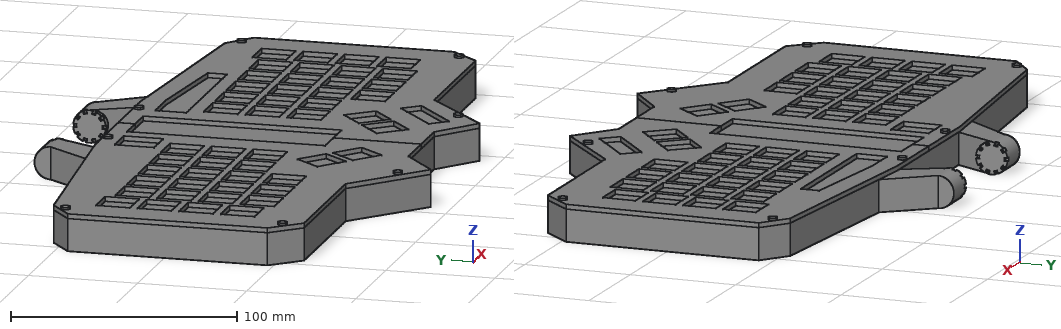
import cadquery as cq
import math

case_height = 15.0
plate_thickness = 2.2
stud_height = 1.0
plate_top = case_height + plate_thickness

half_width = 156.0
rear_flat_half = 38.0
rear_chamfer_start = (143.5, -9.7)
rear_chamfer_end_y = -19.7
front_chamfer_start_y = -111.0
front_chamfer_end_x = 144.0
front_edge_y = -124.5
wing_inner_x = 74.3
thumb_tip = (41.0, -154.5)
middle_front = (21.5, -139.0)

key_size = 15.5
key_pitch = 19.0
first_column_x = 36.0
first_row_y = -39.3
rows_per_column = [3, 3, 4, 4, 4]
outer_column_rows = 4
outer_column_rise = 3.7
thumb_angle = 40.0
thumb_pair_center = (31.0, -109.8)

window_width = 27.5
window_length = 90.8
window_rear_y = -7.8
tall_key_length = 18.0
tall_key_center = (-29.0, -17.5)
slot_left_x = 24.3
slot_bend_x = 42.5
slot_right_x = 92.5
slot_rear_y = -10.3
slot_right_rear_y = -16.0
slot_front_y = -24.5
thumb_bar_length = 29.3
thumb_bar_width = 10.0
thumb_bar_center = (48.7, -127.3)

stud_diameter = 4.0
stud_places = [(26.0, -2.5), (147.5, -16.2), (148.0, -115.8), (50.5, -142.0)]

knuckle_diameter = case_height
knuckle_axis_y = 20.0
knuckle_inner_x = 25.0
knuckle_outer_x = 40.0
notch_count = 10
notch_length = 1.5
notch_width = 1.5
notch_depth = 1.5
arm_end_inner_x = 25.3
arm_root_inner_x = 37.5
arm_root_outer_x = 57.5
arm_root_y = -3.0


def half_outline(side):
    """Closed outline of one half; side is +1 for the right half, -1 for the left."""
    points = [
        (0, 0),
        (rear_flat_half, 0),
        rear_chamfer_start,
        (half_width, rear_chamfer_end_y),
        (half_width, front_chamfer_start_y),
        (front_chamfer_end_x, front_edge_y),
        (wing_inner_x, front_edge_y),
        thumb_tip,
        middle_front,
        (0, middle_front[1]),
    ]
    return [(side * x, y) for x, y in points]


def prism(points, bottom, height):
    return cq.Workplane("XY").workplane(offset=bottom).polyline(points).close().extrude(height)


def opening(length, width, center, angle=0.0):
    """Rectangular cutter through the plate, length along X before turning by angle."""
    cutter = cq.Workplane("XY").box(length, width, plate_thickness, centered=(True, True, False))
    return cutter.rotate((0, 0, 0), (0, 0, 1), angle).translate((*center, case_height))


def make_knuckle():
    """Knuckle of the right arm: a cylinder along X with notches round the rim of its inner end."""
    radius = knuckle_diameter / 2
    knuckle = cq.Workplane("YZ").circle(radius).extrude(knuckle_outer_x - knuckle_inner_x)
    notch = (
        cq.Workplane("XY")
        .box(notch_length, 2 * notch_depth, notch_width, centered=(False, True, True))
        .translate((0, radius, 0))
    )
    pitch_angle = 360 / notch_count
    for index in range(notch_count):
        knuckle = knuckle.cut(notch.rotate((0, 0, 0), (1, 0, 0), index * pitch_angle))
    return knuckle.translate((knuckle_inner_x, knuckle_axis_y, radius))


def make_arm():
    """Right hinge arm, running from inside the case to its knuckle."""
    outline = [
        (arm_end_inner_x, knuckle_axis_y),
        (arm_root_inner_x, arm_root_y),
        (arm_root_outer_x, arm_root_y),
        (knuckle_outer_x, knuckle_axis_y),
    ]
    return prism(outline, 0, case_height).union(make_knuckle())


def make_case():
    case = prism(half_outline(1), 0, case_height).union(prism(half_outline(-1), 0, case_height))
    right_arm = make_arm()
    return case.union(right_arm).union(right_arm.mirror("YZ")).clean()


def key_centers(side):
    centers = []
    for column, row_count in enumerate(rows_per_column):
        for row in range(row_count):
            centers.append((side * (first_column_x + column * key_pitch), first_row_y - row * key_pitch))
    outer_x = side * (first_column_x + len(rows_per_column) * key_pitch)
    for row in range(outer_column_rows):
        centers.append((outer_x, first_row_y + outer_column_rise - row * key_pitch))
    return centers


def cut_thumb_keys(plate, side):
    step = key_pitch / 2
    for direction in (1, -1):
        x = thumb_pair_center[0] + direction * step * math.cos(math.radians(thumb_angle))
        y = thumb_pair_center[1] + direction * step * math.sin(math.radians(thumb_angle))
        plate = plate.cut(opening(key_size, key_size, (side * x, y), side * thumb_angle))
    return plate


def make_plate(side):
    """Plate of one half with the openings that both halves share."""
    plate = prism(half_outline(side), case_height, plate_thickness)
    for center in key_centers(side):
        plate = plate.cut(opening(key_size, key_size, center))
    plate = cut_thumb_keys(plate, side)
    window_center = (0, window_rear_y - window_length / 2)
    plate = plate.cut(opening(window_width, window_length, window_center))
    studs = (
        cq.Workplane("XY")
        .workplane(offset=plate_top)
        .pushPoints([(side * x, y) for x, y in stud_places])
        .circle(stud_diameter / 2)
        .extrude(stud_height)
    )
    return plate.union(studs)


def make_left_plate():
    return make_plate(-1).cut(opening(key_size, tall_key_length, tall_key_center))


def make_right_plate():
    slot = [
        (slot_left_x, slot_rear_y),
        (slot_bend_x, slot_rear_y),
        (slot_right_x, slot_right_rear_y),
        (slot_right_x, slot_front_y),
        (slot_left_x, slot_front_y),
    ]
    plate = make_plate(1).cut(prism(slot, case_height, plate_thickness))
    return plate.cut(opening(thumb_bar_length, thumb_bar_width, thumb_bar_center, thumb_angle))


case = make_case()
left_plate = make_left_plate()
right_plate = make_right_plate()

result = cq.Compound.makeCompound([case.val(), left_plate.val(), right_plate.val()])